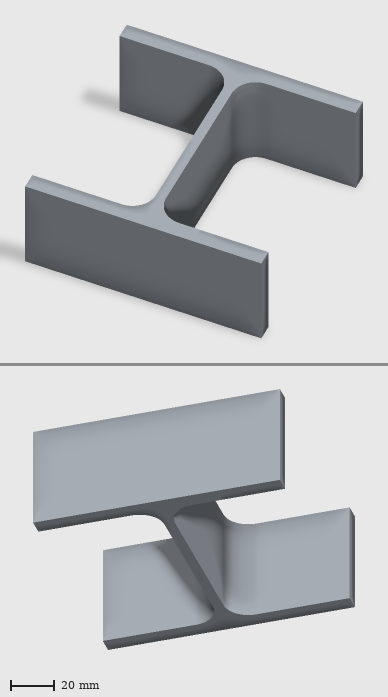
import cadquery as cq

flange_width = 120.0
section_depth = 114.0
beam_length = 50.0
flange_thickness = 8.0
web_thickness = 5.0
root_radius = 12.0


def flange(side):
    """Flange plate at the +Y (side = 1) or -Y (side = -1) end of the web."""
    center_y = side * (section_depth - flange_thickness) / 2
    return (
        cq.Workplane("XY")
        .center(0, center_y)
        .rect(flange_width, flange_thickness)
        .extrude(beam_length)
    )


web_height = section_depth - 2 * flange_thickness
web = cq.Workplane("XY").rect(web_thickness, web_height).extrude(beam_length)
beam = web.union(flange(1)).union(flange(-1))

root_corners = cq.selectors.BoxSelector(
    (-web_thickness, -section_depth / 2, 0),
    (web_thickness, section_depth / 2, beam_length),
)
result = beam.edges("|Z").edges(root_corners).fillet(root_radius)